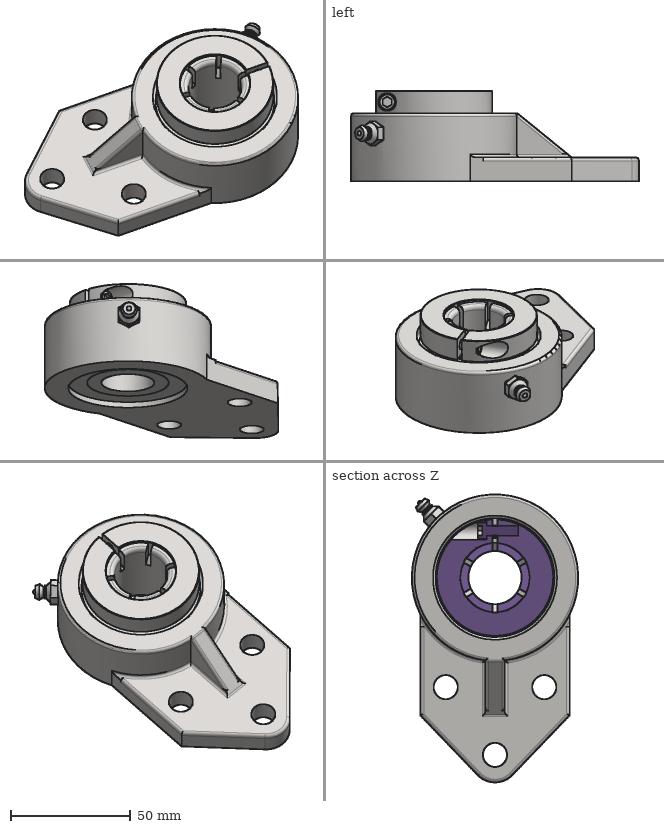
import cadquery as cq
import math


housing_diameter = 69.9
housing_radius = housing_diameter / 2
housing_height = 28.5
rim_fillet = 1.2
total_length = 121.0

plate_half_width = 31.5
plate_thickness = 10.0
plate_corner_y = -57.7
plate_tip_y = housing_radius - total_length
plate_tip_radius = 10.0
plate_edge_fillet = 1.5
edge_fillet_start_y = -20.6
root_fillet = 1.2
selection_margin = 0.6

bolt_diameter = 10.0
bolt_points = [(-20.7, -46.0), (20.7, -46.0), (0, -74.4)]

rib_width = 8.2
rib_edge_fillet = 1.2
rib_toe_y = plate_corner_y
rib_root_y = -31.5
rib_sharp_height = 1.5

mouth_diameter = 52.1
mouth_depth = 3.4
mouth_fillet = 1.1
seat_diameter = mouth_diameter - 2 * mouth_fillet
bearing_top = housing_height - mouth_depth
bearing_bottom = 2.4

seal_outer_diameter = 44.0
seal_inner_diameter = 34.7
seal_thickness = 1.8

inner_ring_diameter = 34.2
shoulder_chamfer = 0.5
sleeve_diameter = 29.3
bore_diameter = 22.3
sleeve_recess = 1.1
bore_fillet = 1.9
slot_width = 2.0
slot_count = 6
slot_floor_at_bore = 25.9
slot_floor_at_sleeve = 28.7

collar_diameter = 49.0
collar_top = 38.0
collar_bottom = 28.3
collar_chamfer = 0.2

screw_y = 19.7
screw_z = 33.3
head_diameter = 7.0
head_hole_diameter = 7.5
head_chamfer = 0.4
head_face_x = -7.3
head_seat_x = -3.6
thread_diameter = 4.0
thread_end_x = 9.7
socket_width = 3.9
socket_depth = 1.8

nipple_angle = 135.0
nipple_z = 20.1
hex_width = 9.0
nipple_seat = 34.4
hex_end = 37.9
cone_end = 39.7
step_end = 40.4
neck_end = 41.0
head_bulge = 42.6
nipple_face = 44.4
neck_diameter = 4.6
cone_end_diameter = 5.6
bulge_diameter = 6.8
face_diameter = 5.2
ball_diameter = 2.0
ball_center = 44.3


def cylinder(diameter, bottom, top):
    return cq.Workplane("XY").workplane(offset=bottom).circle(diameter / 2).extrude(top - bottom)


def hex_prism(width, bottom, top):
    """Hexagonal prism along Z with two corners on the X axis."""
    corner_diameter = width / math.cos(math.radians(30))
    return (
        cq.Workplane("XY")
        .workplane(offset=bottom)
        .polygon(6, corner_diameter)
        .extrude(top - bottom)
    )


def place_along_radius(body):
    """Turn a body built along Z onto the axis of the grease nipple."""
    return (
        body.rotate((0, 0, 0), (0, 1, 0), 90)
        .rotate((0, 0, 0), (0, 0, 1), nipple_angle)
        .translate((0, 0, nipple_z))
    )


def make_plate():
    """Flange plate with straight sides and a rounded tip, its upper edge rounded below the housing."""
    tip_center_y = plate_tip_y + plate_tip_radius
    rise = plate_corner_y - tip_center_y
    reach = math.hypot(plate_half_width, rise)
    tangent_angle = math.atan2(rise, plate_half_width) - math.acos(plate_tip_radius / reach)
    tangent_x = plate_tip_radius * math.cos(tangent_angle)
    tangent_y = tip_center_y + plate_tip_radius * math.sin(tangent_angle)
    rounded_part = (
        cq.Workplane("XY")
        .moveTo(-plate_half_width, edge_fillet_start_y)
        .lineTo(-plate_half_width, plate_corner_y)
        .lineTo(-tangent_x, tangent_y)
        .threePointArc((0, plate_tip_y), (tangent_x, tangent_y))
        .lineTo(plate_half_width, plate_corner_y)
        .lineTo(plate_half_width, edge_fillet_start_y)
        .close()
        .extrude(plate_thickness)
        .faces(">Z")
        .edges("not >Y")
        .fillet(plate_edge_fillet)
    )
    sharp_part = (
        cq.Workplane("XY")
        .moveTo(0, edge_fillet_start_y / 2)
        .rect(2 * plate_half_width, -edge_fillet_start_y)
        .extrude(plate_thickness)
    )
    return rounded_part.union(sharp_part)


def make_rib():
    """Rib from the housing rim down to the plate, with rounded edges above a sharp-edged toe."""
    sharp_top = plate_thickness + rib_sharp_height
    slope = (housing_height - plate_thickness) / (-housing_radius - rib_toe_y)
    sharp_end_y = rib_toe_y + rib_sharp_height / slope
    upper_edges = cq.selectors.BoxSelector(
        (-rib_width, -total_length, sharp_top + selection_margin),
        (rib_width, rib_root_y - selection_margin, housing_height + selection_margin),
    )
    rounded_part = (
        cq.Workplane("YZ")
        .moveTo(sharp_end_y, sharp_top)
        .lineTo(-housing_radius, housing_height)
        .lineTo(rib_root_y, housing_height)
        .lineTo(rib_root_y, sharp_top)
        .close()
        .extrude(rib_width / 2, both=True)
        .edges(upper_edges)
        .fillet(rib_edge_fillet)
    )
    toe = (
        cq.Workplane("YZ")
        .moveTo(rib_toe_y, plate_thickness)
        .lineTo(sharp_end_y, sharp_top)
        .lineTo(rib_root_y, sharp_top)
        .lineTo(rib_root_y, plate_thickness)
        .close()
        .extrude(rib_width / 2, both=True)
    )
    return rounded_part.union(toe)


def fillet_roots(body):
    """Round the inner corners where the housing and the rib stand on the plate."""
    root_half_width = 24.2
    roots = cq.selectors.BoxSelector(
        (-root_half_width, plate_corner_y - selection_margin, plate_thickness - selection_margin),
        (root_half_width, 0, plate_thickness + selection_margin),
    )
    return body.edges(roots).fillet(root_fillet)


def cut_stepped_bore(body):
    """Bearing seat and the wider mouth above it, with a rounded corner in the mouth."""
    mouth = (
        cylinder(mouth_diameter, bearing_top, housing_height)
        .faces("<Z")
        .edges()
        .fillet(mouth_fillet)
    )
    return body.cut(cylinder(seat_diameter, 0, housing_height)).cut(mouth)


def make_housing():
    """Bearing housing with its flange plate, rib, bolt holes and stepped bore."""
    body = cylinder(housing_diameter, 0, housing_height).faces(">Z").edges().fillet(rim_fillet)
    body = fillet_roots(body.union(make_plate()).union(make_rib()))
    bolt_holes = (
        cq.Workplane("XY").pushPoints(bolt_points).circle(bolt_diameter / 2).extrude(plate_thickness)
    )
    return cut_stepped_bore(body).cut(bolt_holes)


def make_outer_ring():
    """Plain outer ring with a recess for the seal in its upper face."""
    ring = cylinder(seat_diameter, bearing_bottom, bearing_top)
    seal_recess = cylinder(seal_outer_diameter, bearing_top - seal_thickness, bearing_top)
    return ring.cut(cylinder(inner_ring_diameter, bearing_bottom, bearing_top)).cut(seal_recess)


def make_seal():
    bottom = bearing_top - seal_thickness
    return cylinder(seal_outer_diameter, bottom, bearing_top).cut(
        cylinder(seal_inner_diameter, bottom, bearing_top)
    )


def make_slot_cutter():
    """Cutter along +X for one sleeve slot, with a floor that rises outward."""
    inner = bore_diameter / 2
    outer = sleeve_diameter / 2
    cutter_end = inner_ring_diameter / 2
    rise = (slot_floor_at_sleeve - slot_floor_at_bore) / (outer - inner)
    return (
        cq.Workplane("XZ")
        .moveTo(0, slot_floor_at_bore - rise * inner)
        .lineTo(cutter_end, slot_floor_at_bore + rise * (cutter_end - inner))
        .lineTo(cutter_end, collar_top)
        .lineTo(0, collar_top)
        .close()
        .extrude(slot_width / 2, both=True)
    )


def make_inner_ring():
    """Inner ring with a slotted sleeve that the collar clamps."""
    sleeve_top = collar_top - sleeve_recess
    ring = cylinder(inner_ring_diameter, bearing_bottom, bearing_top)
    ring = ring.faces(">Z").edges().chamfer(shoulder_chamfer)
    ring = ring.union(cylinder(sleeve_diameter, bearing_bottom, sleeve_top))
    ring = ring.cut(cylinder(bore_diameter, bearing_bottom, sleeve_top))
    ring = ring.faces(">Z").edges(cq.selectors.RadiusNthSelector(0)).fillet(bore_fillet)
    cutter = make_slot_cutter()
    for index in range(slot_count):
        ring = ring.cut(cutter.rotate((0, 0, 0), (0, 0, 1), 90 + index * 360 / slot_count))
    return ring


def make_screw():
    """Socket-head screw along X, built from its head face towards +X."""
    head = (
        cq.Workplane("YZ", origin=(head_face_x, screw_y, screw_z))
        .circle(head_diameter / 2)
        .extrude(head_seat_x - head_face_x)
        .faces("<X")
        .edges()
        .chamfer(head_chamfer)
    )
    shank = (
        cq.Workplane("YZ", origin=(head_seat_x, screw_y, screw_z))
        .circle(thread_diameter / 2)
        .extrude(thread_end_x - head_seat_x)
    )
    socket = (
        hex_prism(socket_width, 0, socket_depth)
        .rotate((0, 0, 0), (0, 1, 0), 90)
        .translate((head_face_x, screw_y, screw_z))
    )
    return head.union(shank).cut(socket)


def make_collar():
    """Split collar with a counterbored hole for its clamping screw."""
    collar = cylinder(collar_diameter, collar_bottom, collar_top)
    collar = collar.cut(cylinder(sleeve_diameter, collar_bottom, collar_top))
    collar = collar.faces(">Z").edges().chamfer(collar_chamfer)
    slit = (
        cq.Workplane("XY")
        .workplane(offset=collar_bottom)
        .moveTo(0, collar_diameter / 2)
        .rect(slot_width, collar_diameter)
        .extrude(collar_top - collar_bottom)
    )
    head_hole = (
        cq.Workplane("YZ", origin=(head_seat_x, screw_y, screw_z))
        .circle(head_hole_diameter / 2)
        .extrude(-collar_diameter / 2)
    )
    thread_hole = (
        cq.Workplane("YZ", origin=(head_seat_x, screw_y, screw_z))
        .circle(thread_diameter / 2)
        .extrude(thread_end_x - head_seat_x)
    )
    return collar.cut(slit).cut(head_hole).cut(thread_hole)


def make_ball():
    return place_along_radius(cq.Workplane("XY").sphere(ball_diameter / 2).translate((0, 0, ball_center)))


def make_nipple(ball):
    """Grease nipple: hexagon, conical shoulder, neck and bulged head with a seat for its ball."""
    turned = (
        cq.Workplane("XZ")
        .moveTo(0, hex_end)
        .lineTo(hex_width / 2, hex_end)
        .lineTo(cone_end_diameter / 2, cone_end)
        .lineTo(cone_end_diameter / 2, step_end)
        .lineTo(neck_diameter / 2, step_end)
        .lineTo(neck_diameter / 2, neck_end)
        .lineTo(bulge_diameter / 2, head_bulge)
        .lineTo(face_diameter / 2, nipple_face)
        .lineTo(0, nipple_face)
        .close()
        .revolve(360, (0, 0, 0), (0, 1, 0))
    )
    hexagon = hex_prism(hex_width, nipple_seat, hex_end)
    return place_along_radius(hexagon.union(turned)).cut(ball)


ball = make_ball()
nipple = make_nipple(ball)
housing = make_housing().cut(nipple)
outer_ring = make_outer_ring()
seal = make_seal()
inner_ring = make_inner_ring()
screw = make_screw()
collar = make_collar()

bodies = [housing, outer_ring, seal, inner_ring, collar, screw, nipple, ball]
result = cq.Compound.makeCompound([body.val() for body in bodies])